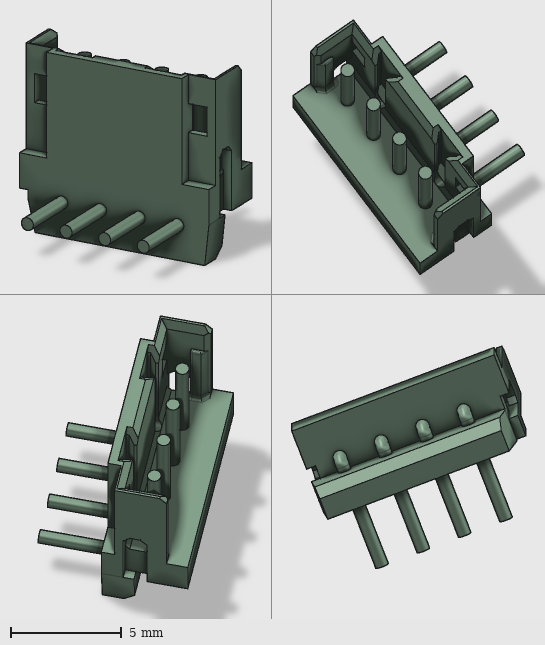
import cadquery as cq
import math

width = 9.8
height = 8.8
half_width = width / 2
block_depth = 4.0
block_bottom = 2.0
block_top = 3.7

wall_depth = 3.02
wall_thickness = 0.43
plate_thickness = 1.01
inner_half_width = half_width - wall_thickness
wall_bevel_width = 0.17
wall_bevel_length = 0.28
lead_in = 0.31
foot_size = 0.22

recess_depth = 0.62
recess_half_gap = 3.5
window_bottom = 6.0
window_top = 7.4

slot_front = plate_thickness
slot_back = 2.12
slot_top = 5.2

pad_inner_x = 4.29
pad_top = 7.25
pad_round = 0.11
pad_bevel = 0.39

keyway_x = 2.3
keyway_bottom_y = 0.42
keyway_shoulder_y = 0.58
keyway_half_width = 0.7
mouth_half_width = 0.4
keyway_neck_y = keyway_shoulder_y + keyway_half_width - mouth_half_width
keyway_lead_in = 0.25

tail_depth = 1.51
tail_bevel = 0.5
tail_taper_start = 1.61
tail_left_bottom = -4.1
tail_right_bottom = 4.68

pin_count = 4
pin_pitch = 2.0
pin_row_x = 0.29
pin_diameter = 0.62
pin_y = 2.11
pin_z = 1.71
pin_top = 8.16
depth = 7.2
pin_front = block_depth - depth
pin_bend = 0.38


def box(x_range, y_range, z_range):
    """Box between two limits along each axis."""
    size = [high - low for low, high in (x_range, y_range, z_range)]
    start = (x_range[0], y_range[0], z_range[0])
    return cq.Workplane("XY").box(*size, centered=False).translate(start)


def both_sides(left):
    """A left-hand feature together with its mirror image."""
    return left.union(left.mirror("YZ"))


def make_housing():
    """Block and shroud with the shroud's bevelled cavity."""
    housing = (
        cq.Workplane("YZ")
        .moveTo(0, block_bottom)
        .lineTo(0, height)
        .lineTo(wall_depth - lead_in, height)
        .lineTo(wall_depth, height - lead_in)
        .lineTo(wall_depth, block_top)
        .lineTo(block_depth, block_top)
        .lineTo(block_depth, block_bottom)
        .close()
        .extrude(half_width, both=True)
    )
    inner_x = (-inner_half_width, inner_half_width)
    cavity = box(inner_x, (plate_thickness, block_depth), (block_top, height))
    mouth = (
        cq.Workplane("XY", origin=(0, plate_thickness + block_depth, height - lead_in))
        .rect(2 * inner_half_width, 2 * block_depth)
        .workplane(offset=lead_in)
        .rect(2 * (inner_half_width + lead_in), 2 * (block_depth + lead_in))
        .loft(ruled=True)
    )
    return housing.cut(cavity).cut(mouth)


def make_plate_bevel():
    """45 degree strip between the front plate and the top of the block."""
    return (
        cq.Workplane("YZ", origin=(0, plate_thickness, block_top))
        .lineTo(foot_size, 0)
        .lineTo(0, foot_size)
        .close()
        .extrude(inner_half_width, both=True)
    )


def make_left_pad():
    """Left latch pad with rounded front and top edges and a fillet at its foot."""
    bevel_y = wall_depth - pad_bevel
    root_x = half_width + wall_thickness
    floor_z = block_top - foot_size
    floor = box((-width, 0), (0, width), (floor_z, block_top))
    pad = (
        cq.Workplane("XY", origin=(0, 0, floor_z))
        .moveTo(-root_x, slot_back)
        .lineTo(-pad_inner_x, slot_back)
        .lineTo(-pad_inner_x, bevel_y)
        .lineTo(-root_x, bevel_y + root_x - pad_inner_x)
        .close()
        .extrude(pad_top - floor_z)
    )
    pad = pad.edges("|Z").edges(">X").edges("<Y").fillet(pad_round)
    pad = pad.faces(">Z").edges("not <X").fillet(pad_round)
    foot_edges = cq.selectors.BoxSelector(
        (-half_width, plate_thickness, block_top - pad_round),
        (0, block_depth, block_top + pad_round),
    )
    pad = floor.union(pad).edges(foot_edges).fillet(foot_size)
    pad_space = box((-half_width, 0), (plate_thickness, wall_depth), (block_top, pad_top))
    return pad.intersect(pad_space)


def make_tail():
    """Plate below the block with tapered ends and a bevelled lower back edge."""
    tail = (
        cq.Workplane("XZ")
        .moveTo(tail_left_bottom, 0)
        .lineTo(tail_right_bottom, 0)
        .lineTo(half_width, block_bottom)
        .lineTo(-inner_half_width, block_bottom)
        .lineTo(-inner_half_width, tail_taper_start)
        .close()
        .extrude(-tail_depth)
    )
    return tail.faces(">Y").edges("<Z").chamfer(tail_bevel)


def make_left_recess():
    """Front corner recess and the window through the plate behind it."""
    recess = box((-half_width, -recess_half_gap), (0, recess_depth), (block_top, height))
    window = box(
        (-inner_half_width, -recess_half_gap),
        (0, plate_thickness + pad_round),
        (window_bottom, window_top),
    )
    return recess.union(window)


def make_left_slot():
    """Slot up the outer side, breaking through the wall above the block."""
    slot = box((-half_width, -inner_half_width), (slot_front, slot_back), (block_bottom, slot_top))
    return slot.faces(">Z").edges("|X").chamfer(lead_in)


def cut_keyway(body, center_x):
    """Cut a dovetail channel in the front plate, with a flared top and a round-bottomed mouth."""
    channel = (
        cq.Workplane("XY", origin=(center_x, 0, block_top))
        .moveTo(-keyway_half_width, keyway_bottom_y)
        .lineTo(keyway_half_width, keyway_bottom_y)
        .lineTo(keyway_half_width, keyway_shoulder_y)
        .lineTo(mouth_half_width, keyway_neck_y)
        .lineTo(-mouth_half_width, keyway_neck_y)
        .lineTo(-keyway_half_width, keyway_shoulder_y)
        .close()
        .extrude(height - block_top)
    )
    mouth_center_z = block_top + mouth_half_width
    mouth_length = plate_thickness + foot_size - keyway_neck_y
    mouth = (
        cq.Workplane("XZ", origin=(center_x, keyway_neck_y, 0))
        .moveTo(-mouth_half_width, height)
        .lineTo(-mouth_half_width, mouth_center_z)
        .threePointArc((0, block_top), (mouth_half_width, mouth_center_z))
        .lineTo(mouth_half_width, height)
        .close()
        .extrude(-mouth_length)
    )
    flare_half_width = keyway_half_width + keyway_lead_in
    flare = (
        cq.Workplane("XZ", origin=(center_x, keyway_bottom_y, height))
        .moveTo(-flare_half_width, 0)
        .lineTo(0, -flare_half_width)
        .lineTo(flare_half_width, 0)
        .close()
        .extrude(keyway_bottom_y - plate_thickness)
    )
    return body.cut(channel).cut(mouth).cut(flare)


def make_pin(x):
    """Round pin rising through the block and bent forward below it."""
    bend_y = pin_y - pin_bend
    bend_z = pin_z + pin_bend
    diagonal = pin_bend * math.sqrt(0.5)
    path = (
        cq.Workplane("YZ", origin=(x, 0, 0))
        .moveTo(pin_front, pin_z)
        .lineTo(bend_y, pin_z)
        .threePointArc((bend_y + diagonal, bend_z - diagonal), (pin_y, bend_z))
        .lineTo(pin_y, pin_top)
    )
    section = cq.Workplane("XZ", origin=(x, pin_front, pin_z)).circle(pin_diameter / 2)
    return section.sweep(path)


def make_left_end_bevel():
    """Wedge that bevels the inner back edge of the left wall."""
    return (
        cq.Workplane("XY", origin=(-inner_half_width, wall_depth, block_top))
        .lineTo(-wall_bevel_width, 0)
        .lineTo(0, -wall_bevel_length)
        .close()
        .extrude(height - block_top)
    )


result = (
    make_housing()
    .cut(both_sides(make_left_end_bevel()))
    .union(make_plate_bevel())
    .union(both_sides(make_left_pad()))
    .union(make_tail())
    .cut(both_sides(make_left_recess()))
    .cut(both_sides(make_left_slot()))
)
for keyway_center in (-keyway_x, keyway_x):
    result = cut_keyway(result, keyway_center)
for index in range(pin_count):
    pin_x = pin_row_x + (index - (pin_count - 1) / 2) * pin_pitch
    result = result.union(make_pin(pin_x))